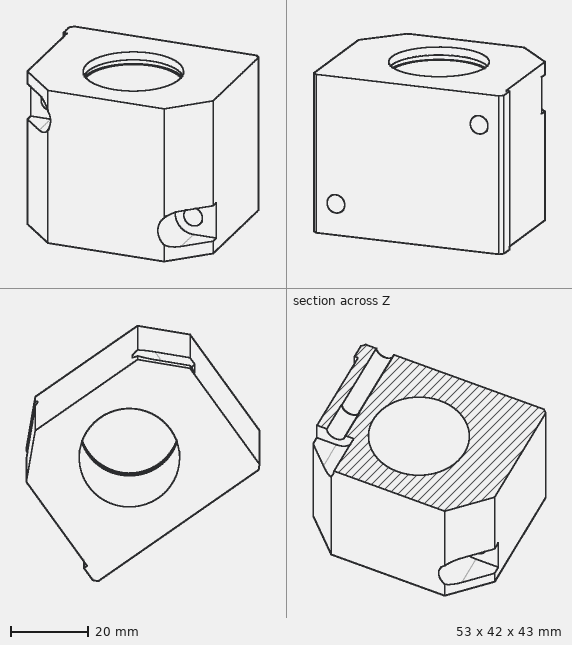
import cadquery as cq

length = 53.0
depth = 42.0
height = 43.0
lip_projection = 1.0
lip_width = 5.0
rear_chamfer = 1.0
front_chamfer = 9.75

bore_diameter = 26.0
bore_from_rear = 22.0
groove_offset = 2.2
groove_width = 1.3
groove_depth = 0.6

bolt_hole_diameter = 5.2
bolt_rear_diameter = 4.95
bolt_step_depth = depth / 2
bolt_offset_x = 20.0
bolt_from_end = 8.5
seat_radius = 5.0
seat_depth = 12.0

right = length / 2
left = -right
body_left = left + lip_projection
rear = bore_from_rear
front = rear - depth


def make_block():
    outline = [
        (left + rear_chamfer, rear),
        (right - rear_chamfer, rear),
        (right, rear - rear_chamfer),
        (right, front + front_chamfer),
        (right - front_chamfer, front),
        (body_left + front_chamfer, front),
        (body_left, front + front_chamfer),
        (body_left, rear - lip_width),
        (left, rear - lip_width),
        (left, rear - rear_chamfer),
    ]
    return cq.Workplane("XY").polyline(outline).close().extrude(height)


def make_bore():
    bore = cq.Workplane("XY").circle(bore_diameter / 2).extrude(height)
    groove = (
        cq.Workplane("XY", origin=(0, 0, height - groove_offset - groove_width))
        .circle(bore_diameter / 2 + groove_depth)
        .extrude(groove_width)
    )
    return bore.union(groove)


def make_bolt_cut(side, z):
    """Stepped through hole along Y and its seat, open toward side (-1 left, 1 right)."""
    x = side * bolt_offset_x
    narrow_hole = cq.Workplane("XZ", origin=(x, rear, z)).circle(bolt_rear_diameter / 2).extrude(depth)
    wide_hole = (
        cq.Workplane("XZ", origin=(x, front + bolt_step_depth, z))
        .circle(bolt_hole_diameter / 2)
        .extrude(bolt_step_depth)
    )
    seat_plane = cq.Workplane("XZ", origin=(x, front + seat_depth, z))
    round_end = seat_plane.circle(seat_radius).extrude(seat_depth)
    run_out = right - bolt_offset_x
    open_side = (
        seat_plane.center(side * run_out / 2, 0)
        .rect(run_out, 2 * seat_radius)
        .extrude(seat_depth)
    )
    return narrow_hole.union(wide_hole).union(round_end).union(open_side)


result = make_block().cut(make_bore())
for side, z in ((-1, height - bolt_from_end), (1, bolt_from_end)):
    result = result.cut(make_bolt_cut(side, z))